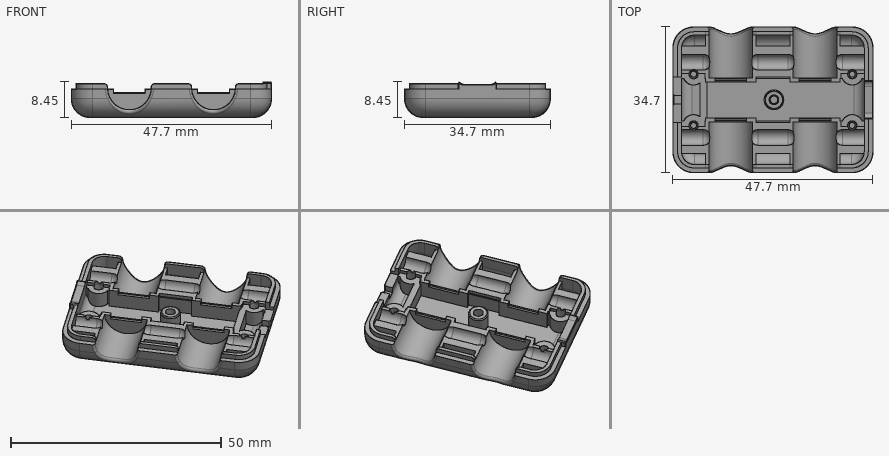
import cadquery as cq
LENGTH = 47.65
WIDTH = 34.7
HEIGHT = 8.45
CORNER_RADIUS = 5.0
BOTTOM_RADIUS = 4.5
RIM_Z = 6.75
LIP_Z = 8.05
LIP_SETBACK = 1.15

END_WALL = 2.1
SIDE_WALL = 1.95
FLOOR_Z = 2.0
LEDGE_Z = 5.9
CAVITY_FLOOR_RADIUS = BOTTOM_RADIUS - FLOOR_Z
CENTRE_POCKET_FLOOR_RADIUS = 2.95
CAVITY_X = LENGTH / 2 - END_WALL
CAVITY_Y = WIDTH / 2 - SIDE_WALL
CAVITY_CORNER_RADIUS = CORNER_RADIUS - SIDE_WALL

GROOVE_X = 10.0
GROOVE_RADIUS = 5.2
GROOVE_AXIS_Z = 7.05
GROOVE_END_Y = 5.25
GROOVE_EDGE_RADIUS = 0.55
MOUTH_MARGIN = 0.15
THIN_WALL = 0.8
LIP_END_RADIUS = 0.8

CENTRE_BLOCK_X = GROOVE_X - GROOVE_RADIUS - THIN_WALL
END_BLOCK_X = GROOVE_X + GROOVE_RADIUS + THIN_WALL
POCKET_INNER_Y = 12.8

BAY_Y = 4.3
BAY_WIDE_Y = 5.1
CENTRE_LEDGE_Y = 5.45
END_LEDGE_Y = 6.3
END_LEDGE_X = 16.2
RIB_INNER_X = -15.72
RIB_THICKNESS = 1.6

NOTCH_LENGTH = 7.55
NOTCH_Z = 6.0
NOTCH_CHAMFER = 0.3

TROUGH_Y = 8.95
TROUGH_RADIUS = 1.85
CENTRE_TROUGH_X = 3.53
END_TROUGH_X = 16.6

POST_X = 18.85
POST_Y = 6.1
POST_RADIUS = 2.55
POST_HOLE_TOP_RADIUS = 1.1
POST_HOLE_BOTTOM_RADIUS = 0.7
BOSS_X = 0.25
BOSS_RADIUS = 2.35
BOSS_Z = 5.9
BOSS_CHAMFER = 0.3
BOSS_HOLE_TOP_RADIUS = 1.15
BOSS_HOLE_BOTTOM_RADIUS = 0.9

OPENING_Y = 5.45
SLOT_Y = 1.05
SLOT_Z = 4.3
SLOT_CHAMFER = 0.35

TAB_BASE_Y = 4.57
TAB_PEAK_Y = 4.35
TAB_FLAT_Y = 3.2
TAB_VALLEY_Z = 7.9
TAB_CHAMFER = 0.2


def block(x0, x1, y0, y1, z0, z1):
    return cq.Workplane("XY").box(x1 - x0, y1 - y0, z1 - z0, centered=False).translate((x0, y0, z0))


def rounded_plate(half_x, half_y, radius, z0, z1):
    plate = cq.Workplane("XY").workplane(offset=z0).rect(2 * half_x, 2 * half_y).extrude(z1 - z0)
    return plate.edges("|Z").fillet(radius)


def mirrored_y(shape):
    return shape.union(shape.mirror("XZ"))


def mirrored_x(shape):
    return shape.union(shape.mirror("YZ"))


def tapered_hole(x, y, top_z, top_radius, bottom_radius):
    cone = cq.Solid.makeCone(bottom_radius, top_radius, top_z - FLOOR_Z)
    return cq.Workplane(obj=cone.translate(cq.Vector(x, y, FLOOR_Z)))


def groove_cutter():
    """U-shaped bar for one groove: half round below, straight sides above."""
    return (
        cq.Workplane("XZ", origin=(GROOVE_X, WIDTH / 2, 0))
        .moveTo(-GROOVE_RADIUS, HEIGHT)
        .lineTo(-GROOVE_RADIUS, GROOVE_AXIS_Z)
        .threePointArc((0, GROOVE_AXIS_Z - GROOVE_RADIUS), (GROOVE_RADIUS, GROOVE_AXIS_Z))
        .lineTo(GROOVE_RADIUS, HEIGHT)
        .close()
        .extrude(WIDTH / 2 - GROOVE_END_Y)
    )


def all_grooves():
    return mirrored_x(mirrored_y(groove_cutter()))


def grooved_body():
    """Solid tray up to the rim, with the grooves cut and their mouths rounded."""
    body = rounded_plate(LENGTH / 2, WIDTH / 2, CORNER_RADIUS, 0, RIM_Z)
    body = body.faces("<Z").edges().fillet(BOTTOM_RADIUS)
    body = body.cut(all_grooves())
    half_width = GROOVE_RADIUS + MOUTH_MARGIN
    mouth_top = RIM_Z - MOUTH_MARGIN
    for x in (-GROOVE_X, GROOVE_X):
        for y0, y1 in ((-WIDTH, -CAVITY_Y), (CAVITY_Y, WIDTH)):
            mouth = cq.selectors.BoxSelector((x - half_width, y0, 0), (x + half_width, y1, mouth_top))
            body = body.edges(mouth).fillet(GROOVE_EDGE_RADIUS)
    return body


def lip():
    """Raised lip inside the rim, interrupted by the grooves."""
    outer = rounded_plate(
        LENGTH / 2 - LIP_SETBACK, WIDTH / 2 - LIP_SETBACK, CORNER_RADIUS - LIP_SETBACK, RIM_Z, LIP_Z
    )
    ring = outer.cut(rounded_plate(CAVITY_X, CAVITY_Y, CAVITY_CORNER_RADIUS, RIM_Z, LIP_Z))
    ring = ring.cut(all_grooves())
    for away, side in ((-1, GROOVE_X - GROOVE_RADIUS), (1, GROOVE_X + GROOVE_RADIUS)):
        corner = (
            cq.Workplane("XZ", origin=(side, WIDTH / 2, LIP_Z))
            .lineTo(away * LIP_END_RADIUS, 0)
            .radiusArc((0, -LIP_END_RADIUS), -away * LIP_END_RADIUS)
            .close()
            .extrude(WIDTH)
        )
        ring = ring.cut(mirrored_x(corner))
    return ring


def cavity(floor_radius):
    """Inner shape of the shell, with its floor rounded into the walls."""
    space = rounded_plate(CAVITY_X, CAVITY_Y, CAVITY_CORNER_RADIUS, FLOOR_Z, HEIGHT)
    return space.faces("<Z").edges().fillet(floor_radius)


def deep_spaces():
    """Deep spaces of the middle bay and of the pockets behind the lip."""
    far_x = LENGTH / 2
    far_y = WIDTH / 2
    middle = block(-far_x, far_x, -BAY_Y, BAY_Y, 0, HEIGHT)
    centre = block(-CENTRE_BLOCK_X, CENTRE_BLOCK_X, -BAY_WIDE_Y, BAY_WIDE_Y, 0, HEIGHT)
    end = block(END_BLOCK_X, far_x, -BAY_WIDE_Y, BAY_WIDE_Y, 0, HEIGHT)
    end_pocket = block(END_BLOCK_X, far_x, POCKET_INNER_Y, far_y, 0, HEIGHT)
    ends = mirrored_x(end.union(mirrored_y(end_pocket)))
    bay_and_ends = middle.union(centre).union(ends).intersect(cavity(CAVITY_FLOOR_RADIUS))
    centre_pocket = block(-CENTRE_BLOCK_X, CENTRE_BLOCK_X, POCKET_INNER_Y, far_y, 0, HEIGHT)
    centre_pockets = mirrored_y(centre_pocket).intersect(cavity(CENTRE_POCKET_FLOOR_RADIUS))
    return bay_and_ends.union(centre_pockets)


def ledge_space():
    """Shallow steps beside the bay: one in the middle and one at each end."""
    centre = block(-CENTRE_BLOCK_X, CENTRE_BLOCK_X, -CENTRE_LEDGE_Y, CENTRE_LEDGE_Y, LEDGE_Z, HEIGHT)
    end = block(END_LEDGE_X, CAVITY_X, -END_LEDGE_Y, END_LEDGE_Y, LEDGE_Z, HEIGHT)
    return centre.union(mirrored_x(end))


def posts_and_rib():
    """Four screw posts, and the cross rib that joins the two at the -X end."""
    post = cq.Workplane("XY").center(POST_X, POST_Y).circle(POST_RADIUS).extrude(LEDGE_Z)
    posts = mirrored_x(mirrored_y(post))
    outside = block(END_BLOCK_X, CAVITY_X, -WIDTH, WIDTH, 0, HEIGHT)
    posts = posts.intersect(mirrored_x(outside))
    rib = block(RIB_INNER_X - RIB_THICKNESS, RIB_INNER_X, -BAY_WIDE_Y, BAY_WIDE_Y, 0, LEDGE_Z)
    return posts.union(rib)


def post_holes():
    """Tapered screw holes, opened out to a straight bore above the ledge."""
    taper = tapered_hole(POST_X, POST_Y, LEDGE_Z, POST_HOLE_TOP_RADIUS, POST_HOLE_BOTTOM_RADIUS)
    bore = (
        cq.Workplane("XY", origin=(POST_X, POST_Y, LEDGE_Z))
        .circle(POST_HOLE_TOP_RADIUS)
        .extrude(HEIGHT - LEDGE_Z)
    )
    return mirrored_x(mirrored_y(taper.union(bore)))


def boss():
    """Hollow chamfered boss standing on the bay floor."""
    shape = cq.Workplane("XY").center(BOSS_X, 0).circle(BOSS_RADIUS).extrude(BOSS_Z)
    shape = shape.faces(">Z").chamfer(BOSS_CHAMFER).cut(block(-LENGTH, LENGTH, -WIDTH, WIDTH, 0, FLOOR_Z))
    return shape.cut(tapered_hole(BOSS_X, 0, BOSS_Z, BOSS_HOLE_TOP_RADIUS, BOSS_HOLE_BOTTOM_RADIUS))


def trough(x0, x1, rounded_ends):
    """Half-round channel along X with ball-shaped ends at the given X places."""
    bar = cq.Workplane("YZ", origin=(x0, TROUGH_Y, RIM_Z)).circle(TROUGH_RADIUS).extrude(x1 - x0)
    for x in rounded_ends:
        bar = bar.union(cq.Workplane("XY", origin=(x, TROUGH_Y, RIM_Z)).sphere(TROUGH_RADIUS))
    return mirrored_y(bar)


def troughs():
    centre = trough(-CENTRE_TROUGH_X, CENTRE_TROUGH_X, (-CENTRE_TROUGH_X, CENTRE_TROUGH_X))
    end = trough(END_TROUGH_X, CAVITY_X, (END_TROUGH_X,))
    return centre.union(mirrored_x(end))


def wall_notches():
    """Notches in the groove end walls; what is left of each wall has a bevelled top."""
    low_z = NOTCH_Z - NOTCH_CHAMFER
    profile = [
        (BAY_Y, low_z),
        (BAY_Y + NOTCH_CHAMFER, NOTCH_Z),
        (GROOVE_END_Y - NOTCH_CHAMFER, NOTCH_Z),
        (GROOVE_END_Y, low_z),
        (GROOVE_END_Y, HEIGHT),
        (BAY_Y, HEIGHT),
    ]
    notch = (
        cq.Workplane("YZ", origin=(GROOVE_X - NOTCH_LENGTH / 2, 0, 0))
        .polyline(profile)
        .close()
        .extrude(NOTCH_LENGTH)
    )
    return mirrored_x(mirrored_y(notch))


def slot_outline(half_y, low_z):
    return [(-half_y, low_z), (half_y, low_z), (half_y, LEDGE_Z), (-half_y, LEDGE_Z)]


def wall_opening():
    """Wide opening in the -X wall with a slot in its sill, flared on the outside."""
    outer_x = -LENGTH / 2
    opening = block(outer_x, -CAVITY_X, -OPENING_Y, OPENING_Y, LEDGE_Z, HEIGHT)
    slot = block(outer_x, -CAVITY_X, -SLOT_Y, SLOT_Y, SLOT_Z, HEIGHT)
    wide_y = SLOT_Y + SLOT_CHAMFER
    flare = (
        cq.Workplane("YZ", origin=(outer_x, 0, 0))
        .polyline(slot_outline(wide_y, SLOT_Z - SLOT_CHAMFER))
        .close()
        .workplane(offset=SLOT_CHAMFER)
        .polyline(slot_outline(SLOT_Y, SLOT_Z))
        .close()
        .loft(ruled=True)
    )
    return opening.union(slot).union(flare)


def end_tab():
    """Tab on the +X wall with a flat middle and an upswept ear at each end."""
    rise = HEIGHT - TAB_VALLEY_Z
    run = TAB_PEAK_Y - TAB_FLAT_Y
    sweep_radius = (run**2 + rise**2) / (2 * rise)
    tab = (
        cq.Workplane("YZ", origin=(CAVITY_X, 0, 0))
        .moveTo(-TAB_BASE_Y, RIM_Z)
        .lineTo(-TAB_BASE_Y, LIP_Z)
        .lineTo(-TAB_PEAK_Y, HEIGHT)
        .radiusArc((-TAB_FLAT_Y, TAB_VALLEY_Z), -sweep_radius)
        .lineTo(TAB_FLAT_Y, TAB_VALLEY_Z)
        .radiusArc((TAB_PEAK_Y, HEIGHT), -sweep_radius)
        .lineTo(TAB_BASE_Y, LIP_Z)
        .lineTo(TAB_BASE_Y, RIM_Z)
        .close()
        .extrude(END_WALL)
    )
    return tab.faces(">X").edges("not <Z").chamfer(TAB_CHAMFER)


result = grooved_body().union(lip())
result = result.cut(deep_spaces().cut(posts_and_rib()))
result = result.cut(ledge_space()).cut(troughs()).cut(wall_notches())
result = result.union(boss()).cut(post_holes())
tab_seat = block(CAVITY_X, LENGTH / 2, -TAB_PEAK_Y, TAB_PEAK_Y, RIM_Z, HEIGHT)
result = result.cut(wall_opening()).cut(tab_seat).union(end_tab())